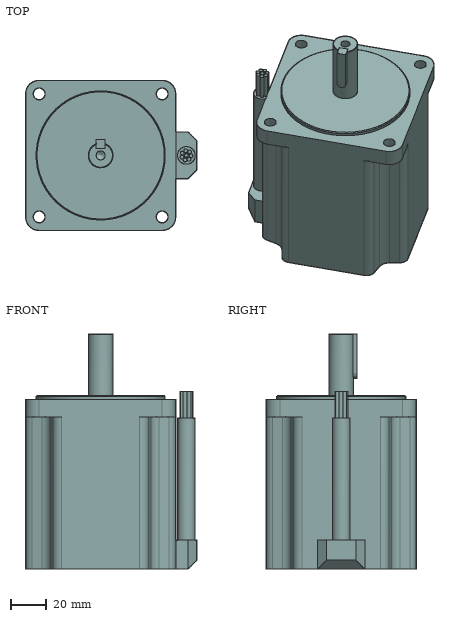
import cadquery as cq
import math

flange_bottom = 86.0
flange_top = 95.9
boss_top = 98.0
shaft_top = 133.0

flange_width = 85.0
half_width = flange_width / 2
hole_spacing = 69.5
hole_diameter = 6.5
hole_offset = hole_spacing / 2
flange_corner_radius = half_width - hole_offset
boss_diameter = 73.0
boss_chamfer = 0.5

hollow_radius = 6.5
shoulder_radius = 5.0
wall_tilt = math.radians(15)

shaft_diameter = 14.0
shaft_chamfer = 0.3
bore_diameter = 5.0
bore_depth = 13.3
drill_tip_angle = math.radians(118)

key_width = 5.0
key_length = 25.1
key_seat = 4.0

outlet_depth = 12.0
outlet_width = 26.6
outlet_height = 16.4
outlet_chamfer = 5.0

cable_x = half_width + outlet_depth / 2
sheath_diameter = 10.0
sheath_top = 85.4
wire_diameter = 2.1
wire_top = 100.4
outer_wire_count = 7
wire_ring_radius = 2.7
wire_start_angle = -4.0


def cylinder(diameter, bottom, top, x=0.0, y=0.0):
    """Upright cylinder between two heights."""
    return cq.Workplane("XY", origin=(x, y, bottom)).circle(diameter / 2).extrude(top - bottom)


def corner_relief():
    """Cutter for the +X +Y housing corner, symmetric about the diagonal."""
    normal_x = math.cos(wall_tilt)
    normal_y = math.sin(wall_tilt)
    shoulder_y = half_width - shoulder_radius
    wall_reach = hole_offset * (normal_x + normal_y) - hollow_radius
    shoulder_x = (wall_reach - shoulder_radius - shoulder_y * normal_y) / normal_x

    def shoulder_point(angle):
        return (shoulder_x + shoulder_radius * math.cos(angle), shoulder_y + shoulder_radius * math.sin(angle))

    def mirrored(point):
        return (point[1], point[0])

    face_end = (shoulder_x, half_width)
    shoulder_middle = shoulder_point((wall_tilt + math.pi / 2) / 2)
    wall_start = shoulder_point(wall_tilt)
    wall_end = (hole_offset - hollow_radius * normal_x, hole_offset - hollow_radius * normal_y)
    diagonal = hole_offset - hollow_radius * math.cos(math.pi / 4)

    return (
        cq.Workplane("XY")
        .moveTo(*face_end)
        .threePointArc(shoulder_middle, wall_start)
        .lineTo(*wall_end)
        .threePointArc((diagonal, diagonal), mirrored(wall_end))
        .lineTo(*mirrored(wall_start))
        .threePointArc(mirrored(shoulder_middle), mirrored(face_end))
        .lineTo(half_width, half_width)
        .close()
        .extrude(flange_bottom)
    )


def make_housing():
    """Square housing with four fluted corners."""
    housing = cq.Workplane("XY").rect(flange_width, flange_width).extrude(flange_bottom)
    relief = corner_relief()
    for corner in range(4):
        housing = housing.cut(relief.rotate((0, 0, 0), (0, 0, 1), 90 * corner))
    return housing


def make_flange():
    """Mounting flange with four bolt holes and the centring boss."""
    flange = (
        cq.Workplane("XY", origin=(0, 0, flange_bottom))
        .rect(flange_width, flange_width)
        .extrude(flange_top - flange_bottom)
        .edges("|Z")
        .fillet(flange_corner_radius)
        .faces(">Z")
        .workplane()
        .rect(hole_spacing, hole_spacing, forConstruction=True)
        .vertices()
        .hole(hole_diameter)
    )
    boss = cylinder(boss_diameter, flange_top, boss_top).faces(">Z").chamfer(boss_chamfer)
    return flange.union(boss)


def make_shaft():
    """Chamfered shaft with a blind drilled bore in its end."""
    shaft = cylinder(shaft_diameter, boss_top, shaft_top).faces(">Z").chamfer(shaft_chamfer)
    bore_bottom = shaft_top - bore_depth
    bore_radius = bore_diameter / 2
    tip_bottom = bore_bottom - bore_radius / math.tan(drill_tip_angle / 2)
    bore = (
        cq.Workplane("XZ")
        .moveTo(0, shaft_top)
        .lineTo(bore_radius, shaft_top)
        .lineTo(bore_radius, bore_bottom)
        .lineTo(0, tip_bottom)
        .close()
        .revolve(360, (0, 0), (0, 1))
    )
    return shaft.cut(bore)


def make_outlet():
    """Cable outlet block with its two outer sides and lower edge chamfered."""
    return (
        cq.Workplane("XY")
        .box(outlet_depth, outlet_width, outlet_height, centered=(False, True, False))
        .translate((half_width, 0, 0))
        .edges("(>X and |Z) or (>X and <Z)")
        .chamfer(outlet_chamfer)
    )


def make_cable():
    """Sheathed cable with one central wire and a ring of wires around it."""
    cable = cylinder(sheath_diameter, outlet_height, sheath_top, cable_x)
    cable = cable.union(cylinder(wire_diameter, sheath_top, wire_top, cable_x))
    for index in range(outer_wire_count):
        angle = math.radians(wire_start_angle + 360 * index / outer_wire_count)
        wire_x = cable_x + wire_ring_radius * math.cos(angle)
        wire_y = wire_ring_radius * math.sin(angle)
        cable = cable.union(cylinder(wire_diameter, sheath_top, wire_top, wire_x, wire_y))
    return cable


def make_key():
    """Key flush with the shaft end, seated in the +Y side of the shaft."""
    key_radius = key_width / 2
    key_bottom = shaft_top - key_length
    round_start = key_bottom + key_radius
    return (
        cq.Workplane("XZ", origin=(0, key_seat, 0))
        .moveTo(-key_radius, shaft_top)
        .lineTo(-key_radius, round_start)
        .threePointArc((0, key_bottom), (key_radius, round_start))
        .lineTo(key_radius, shaft_top)
        .close()
        .extrude(-key_width)
    )


key = make_key()

motor = (
    make_housing()
    .union(make_flange())
    .union(make_shaft().cut(key))
    .union(make_outlet())
    .union(make_cable())
)

result = cq.Compound.makeCompound([motor.solids().val(), key.val()])